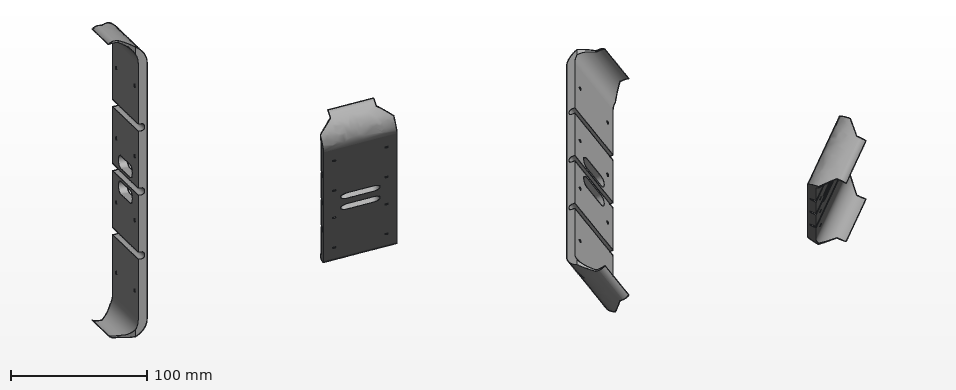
import cadquery as cq
import math

plate_width = 56.0
plate_thickness = 7.0
flat_length = 200.0
half_flat = flat_length / 2

inner_radius = 14.5
curl_rise = 16.0
crest_depth = plate_thickness + inner_radius
overall_depth = 26.5

lip_width = 35.0
corner_cut_start = 9.0
corner_cut_end = 19.0

groove_width = 5.5
groove_depth = 5.0
groove_pitch = 50.0
groove_heights = (-groove_pitch, 0.0, groove_pitch)

slot_length = 30.0
slot_height = 10.0
slot_offset = 10.0

hole_diameter = 2.4
hole_spacing = 40.0
hole_heights = (-80.0, -25.0, 25.0, 80.0)


def make_profile_body():
    """Plate with both curled ends, extruded across the full width."""

    def inner_point(angle):
        """Point on the round inside of the curl; the angle leans forward from +Z."""
        depth = crest_depth + inner_radius * math.sin(angle)
        height = half_flat + inner_radius * math.cos(angle)
        return (-depth, height)

    tip_angle = math.asin((overall_depth - crest_depth) / inner_radius)
    inner_start_angle = -math.pi / 2
    inner_mid_angle = (tip_angle + inner_start_angle) / 2
    tip = inner_point(tip_angle)

    upper_half = (
        cq.Workplane("YZ", origin=(-plate_width / 2, 0, 0))
        .lineTo(0, half_flat)
        .ellipseArc(crest_depth, curl_rise, 0, 90, startAtCurrent=True)
        .tangentArcPoint(tip, relative=False)
        .threePointArc(inner_point(inner_mid_angle), inner_point(inner_start_angle))
        .lineTo(-plate_thickness, 0)
        .close()
        .extrude(plate_width)
    )
    return upper_half.union(upper_half.mirror("XY")).clean()


def make_plan_outline():
    """Prism with the outline seen along Z: full width at the back, lip width in front."""
    half_width = plate_width / 2
    half_lip = lip_width / 2
    outline = [
        (-half_width, 0),
        (-half_width, -corner_cut_start),
        (-half_lip, -corner_cut_end),
        (-half_lip, -overall_depth),
        (half_lip, -overall_depth),
        (half_lip, -corner_cut_end),
        (half_width, -corner_cut_start),
        (half_width, 0),
    ]
    prism_half_height = half_flat + curl_rise
    return cq.Workplane("XY").polyline(outline).close().extrude(prism_half_height, both=True)


def make_groove(height):
    """Groove cutter along X with a half-round bottom."""
    radius = groove_width / 2
    bottom = groove_depth - plate_thickness
    return (
        cq.Workplane("YZ")
        .moveTo(-plate_thickness, height - radius)
        .lineTo(bottom - radius, height - radius)
        .threePointArc((bottom, height), (bottom - radius, height + radius))
        .lineTo(-plate_thickness, height + radius)
        .close()
        .extrude(plate_width / 2, both=True)
    )


def make_slot(height):
    """Through-slot cutter with full-round ends."""
    return cq.Workplane("XZ").center(0, height).slot2D(slot_length, slot_height).extrude(plate_thickness)


def make_holes():
    """Cutters for the two columns of through holes."""
    points = [(x, z) for x in (-hole_spacing / 2, hole_spacing / 2) for z in hole_heights]
    return cq.Workplane("XZ").pushPoints(points).circle(hole_diameter / 2).extrude(plate_thickness)


result = make_profile_body().intersect(make_plan_outline())
for groove_height in groove_heights:
    result = result.cut(make_groove(groove_height))
for slot_center in (-slot_offset, slot_offset):
    result = result.cut(make_slot(slot_center))
result = result.cut(make_holes())